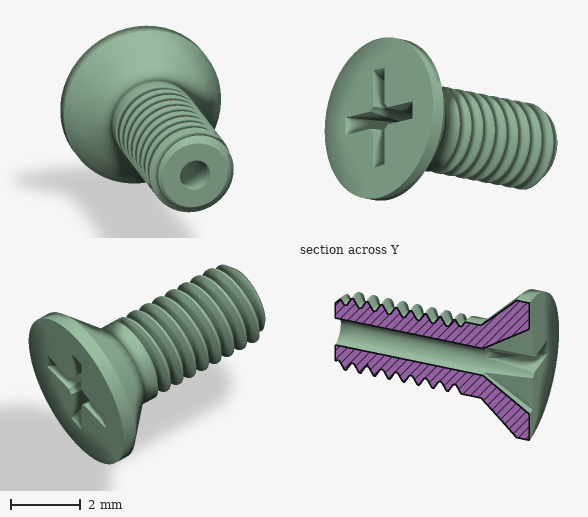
import cadquery as cq
import math

length = 6.0

head_diameter = 4.7
head_radius = head_diameter / 2
rim_thickness = 0.4
head_height = 1.5
shank_radius = 1.25

pitch = 0.45
thread_start = 1.985
flank_angle = math.radians(30)
sharp_height = pitch / 2 / math.tan(flank_angle)
root_fillet = sharp_height / 6
groove_width = pitch * 7 / 8
apex_depth = groove_width / 2 / math.tan(flank_angle)
thread_depth = apex_depth + root_fillet - root_fillet / math.sin(flank_angle)
root_radius = shank_radius - thread_depth
cutter_overshoot = 0.025
tip_chamfer = 0.27
groove_x_at_y = 2.425
full_depth_angle = -187.0
runout_angle = 128.0

bore_radius = 0.45
slot_half_length = 1.445
slot_half_width = 0.25
recess_depth = 1.44
floor_half_length = bore_radius
floor_half_width = 0.13


def turn_profile(points):
    """Solid turned about the X axis from (X, radius) points."""
    return cq.Workplane("XY").polyline(points).close().revolve(360, (0, 0, 0), (1, 0, 0))


def make_head():
    """Countersunk head with the plain part of the shank."""
    return turn_profile([
        (0, 0),
        (0, head_radius),
        (rim_thickness, head_radius),
        (head_height, shank_radius),
        (thread_start, shank_radius),
        (thread_start, 0),
    ])


def make_thread_blank():
    """Shank from the start of the thread to the chamfered tip."""
    return turn_profile([
        (thread_start, 0),
        (thread_start, shank_radius),
        (length - tip_chamfer, shank_radius),
        (length, shank_radius - tip_chamfer),
        (length, 0),
    ])


def make_slot_pair(turn):
    """Two opposite wings of the recess, narrowing towards the bottom."""
    wings = (
        cq.Workplane("YZ")
        .rect(2 * slot_half_length, 2 * slot_half_width)
        .workplane(offset=recess_depth)
        .rect(2 * floor_half_length, 2 * floor_half_width)
        .loft(ruled=True)
    )
    return wings.rotate((0, 0, 0), (1, 0, 0), turn)


def groove_section():
    """Cutter section at the +Y side, centred on X = 0: V flanks with a rounded root."""
    outer_y = shank_radius + cutter_overshoot
    outer_x = (apex_depth + cutter_overshoot) * math.tan(flank_angle)
    tangent_x = root_fillet * math.cos(flank_angle)
    tangent_y = root_radius + root_fillet * (1 - math.sin(flank_angle))
    return (
        cq.Workplane("XY")
        .moveTo(-outer_x, outer_y)
        .lineTo(-tangent_x, tangent_y)
        .threePointArc((0, root_radius), (tangent_x, tangent_y))
        .lineTo(outer_x, outer_y)
        .close()
    )


def sweep_groove(axial_length, rise_angle=360):
    """Sweep the section along a right-handed spiral towards +X from the +Y side.

    A rise angle of 360 keeps the radius constant.
    """
    spiral = cq.Wire.makeHelix(pitch, axial_length, root_radius, angle=rise_angle)
    spiral = spiral.rotate(cq.Vector(), cq.Vector(0, 1, 0), 90)
    spiral = spiral.rotate(cq.Vector(), cq.Vector(1, 0, 0), 90)
    return groove_section().sweep(cq.Workplane(spiral), isFrenet=True)


def make_threaded_shank():
    """Cut the full-depth groove, then the runout that rises towards the head."""
    start_x = groove_x_at_y + pitch * full_depth_angle / 360
    groove = sweep_groove(length + pitch - start_x)
    runout_length = pitch * runout_angle / 360
    rise_angle = math.degrees(math.atan2(thread_depth, runout_length))
    runout = sweep_groove(runout_length, rise_angle).rotate((0, 0, 0), (0, 1, 0), 180)
    shank = make_thread_blank()
    for cutter in (groove, runout):
        placed = cutter.rotate((0, 0, 0), (1, 0, 0), full_depth_angle).translate((start_x, 0, 0))
        shank = shank.cut(placed)
    return shank


result = make_head().union(make_threaded_shank())
for turn in (0, 90):
    result = result.cut(make_slot_pair(turn))
bore = cq.Workplane("YZ").circle(bore_radius).extrude(length)
result = result.cut(bore)